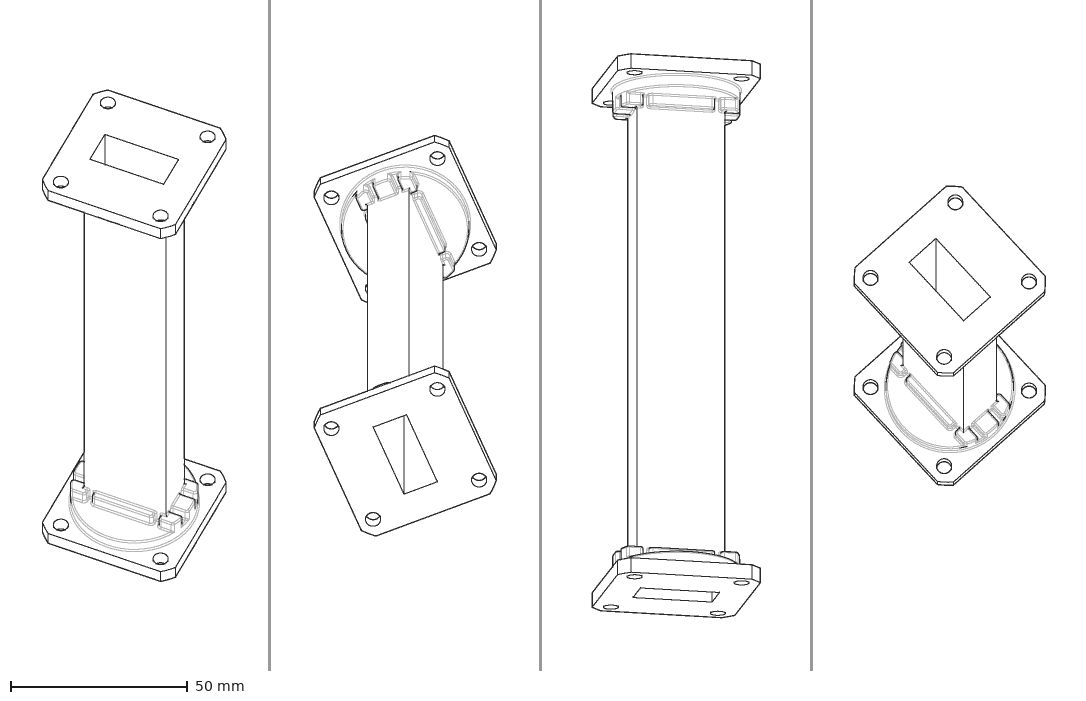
import cadquery as cq
length = 152.4
flange_side = 41.3
flange_thickness = 4.3
corner_diameter = 54.1

hole_diameter = 4.3
hole_pitch_x = 31.0
hole_pitch_y = 32.5

tube_x = 25.5
tube_y = 12.6
opening_x = 22.9
opening_y = 10.2

web_thickness = 1.2
opening_depth = (length - web_thickness) / 2

hub_diameter = 36.1
hub_top = 8.0
post_top = 11.3
posts_y = 17.2
corner_slot_x = 10.4
side_slot_y = 3.7
slot_width = 1.8

post_corner_radius = 0.9
cast_fillet = 0.5
tolerance = 0.02


def prism(x_size, y_size, height):
    """Rectangular block centred on the axis, standing on Z = 0."""
    return cq.Workplane("XY").rect(x_size, y_size).extrude(height)


def make_flange():
    """Square plate with its corners turned to a circle, mating face on Z = 0."""
    turned_blank = cq.Workplane("XY").circle(corner_diameter / 2).extrude(flange_thickness)
    return prism(flange_side, flange_side, flange_thickness).intersect(turned_blank)


def make_hub():
    """Round hub with a softened rim."""
    hub = cq.Workplane("XY").circle(hub_diameter / 2).extrude(hub_top)
    return hub.faces(">Z").edges().fillet(cast_fillet)


def make_posts():
    """Ring of posts around the tube, rooted in the hub, with rounded outer corners."""
    posts = cq.Workplane("XY").circle(hub_diameter / 2).extrude(post_top)
    posts = posts.intersect(prism(hub_diameter, posts_y, post_top))
    for side in (-1, 1):
        corner_slot = prism(slot_width, hub_diameter, post_top)
        side_slot = prism(hub_diameter, slot_width, post_top)
        posts = posts.cut(corner_slot.translate((side * corner_slot_x, 0, 0)))
        posts = posts.cut(side_slot.translate((0, side * side_slot_y, 0)))
    posts = posts.cut(prism(tube_x, tube_y, post_top))

    upright = cq.selectors.ParallelDirSelector(cq.Vector(0, 0, 1))
    touching_tube = cq.selectors.BoxSelector(
        (-tube_x / 2 - tolerance, -tube_y / 2 - tolerance, 0),
        (tube_x / 2 + tolerance, tube_y / 2 + tolerance, post_top),
    )
    return posts.edges(upright - touching_tube).fillet(post_corner_radius)


def edges_between(low, high):
    """Edges lying wholly between two heights, within the hub's circle."""
    reach = hub_diameter / 2 + tolerance
    return cq.selectors.BoxSelector(
        (-reach, -reach, low - tolerance),
        (reach, reach, high + tolerance),
        boundingbox=True,
    )


def make_half():
    """One flanged end with half of the tube, up to mid length."""
    half = make_hub().union(make_posts()).union(prism(tube_x, tube_y, length / 2))
    half = half.edges(edges_between(hub_top, post_top)).fillet(cast_fillet)
    half = half.union(make_flange())
    half = half.edges(edges_between(flange_thickness, flange_thickness)).fillet(cast_fillet)
    holes = (
        cq.Workplane("XY")
        .rect(hole_pitch_x, hole_pitch_y, forConstruction=True)
        .vertices()
        .circle(hole_diameter / 2)
        .extrude(flange_thickness)
    )
    return half.cut(holes).cut(prism(opening_x, opening_y, opening_depth))


lower_half = make_half()
upper_half = lower_half.mirror("XY").translate((0, 0, length))
result = lower_half.union(upper_half).clean()